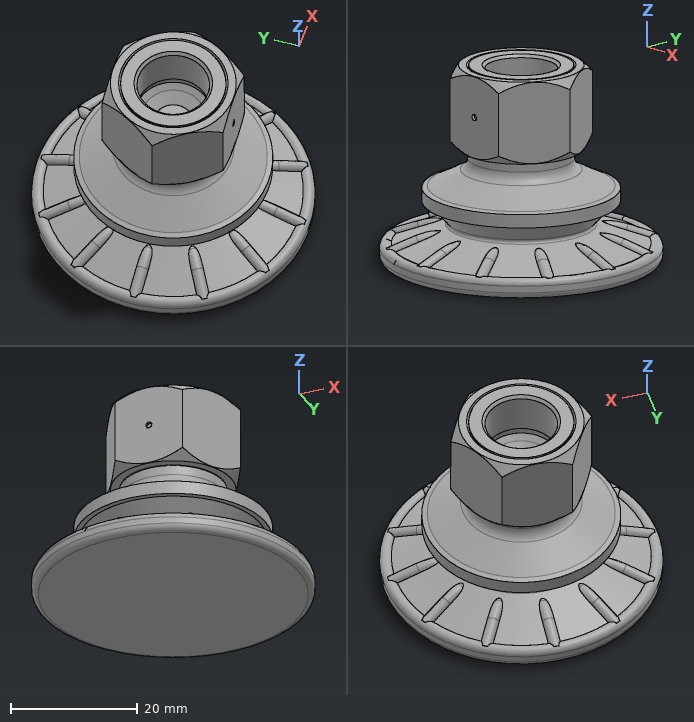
import cadquery as cq
import math

total_height = 32.18
nut_across_flats = 20.0
nut_bottom = 18.67
nut_chamfer_dia = 19.88
nut_bore_dia = 16.66
nut_lead_in = 0.32
mark_dia = 1.0
mark_depth = 0.5

socket_dia = 11.45
socket_mouth_dia = 12.4
socket_depth = 8.16
undercut_dia = 12.0
undercut_height = 1.26
seat_dia = 10.0
seat_depth = 0.75
floor_dia = 6.0
drill_half_angle = 59.0

neck_radius = 8.49
neck_fillet = 2.15
shoulder_radius = 14.87
shoulder_z = 12.31
shoulder_slope = 27.7
collar_dia = 31.48
collar_top = 12.05
collar_bottom = 9.85
underside_radius = 14.8
waist_radius = 12.0
waist_top = 6.86
waist_bottom = 6.1
waist_sag = 0.2
rim_dia = 44.89
bead_top = 3.27
bead_radius = 1.07
valley_radius = 20.55
bead_center_r = rim_dia / 2 - bead_radius
bead_center_z = bead_top - bead_radius
valley_z = bead_center_z + math.sqrt(bead_radius**2 - (bead_center_r - valley_radius)**2)
rim_bottom_fillet = 1.09

rib_count = 12
rib_radius = 1.0
rib_crest_r = 17.1
rib_crest_z = 5.05
rib_bend_radius = 10.0
rib_outer_r = 21.8
rib_inner_r = 12.5


def make_nut():
    height = total_height - nut_bottom
    corner_dia = nut_across_flats / math.cos(math.pi / 6)
    base = cq.Workplane("XY").workplane(offset=nut_bottom)
    hexagon = base.polygon(6, corner_dia).extrude(height)
    chamfer = (corner_dia - nut_chamfer_dia) / 2
    envelope = base.circle(corner_dia / 2).extrude(height).edges().chamfer(chamfer)
    nut = hexagon.intersect(envelope)
    nut = nut.faces(">Z").workplane(origin=(0, 0, 0)).circle(nut_bore_dia / 2).cutThruAll()
    nut = nut.edges(cq.selectors.RadiusNthSelector(0)).edges(">Z").chamfer(nut_lead_in)
    mark = (
        cq.Workplane("XZ", origin=(0, -nut_across_flats / 2, nut_bottom + height / 2))
        .circle(mark_dia / 2)
        .extrude(-mark_depth)
    )
    return nut.cut(mark)


def make_insert():
    mouth_chamfer = (socket_mouth_dia - socket_dia) / 2
    cone_depth = (seat_dia - floor_dia) / 2 / math.tan(math.radians(drill_half_angle))
    socket_z = total_height - socket_depth
    undercut_z = socket_z + undercut_height
    seat_z = socket_z - seat_depth
    floor_z = seat_z - cone_depth
    return (
        cq.Workplane("XZ")
        .moveTo(0, nut_bottom)
        .lineTo(nut_bore_dia / 2, nut_bottom)
        .lineTo(nut_bore_dia / 2, total_height)
        .lineTo(socket_mouth_dia / 2, total_height)
        .lineTo(socket_dia / 2, total_height - mouth_chamfer)
        .lineTo(socket_dia / 2, undercut_z)
        .lineTo(undercut_dia / 2, undercut_z)
        .lineTo(undercut_dia / 2, socket_z)
        .lineTo(seat_dia / 2, seat_z)
        .lineTo(floor_dia / 2, floor_z)
        .lineTo(0, floor_z)
        .close()
        .revolve(360, (0, 0, 0), (0, 1, 0))
    )


def make_cup_body():
    rim_radius = rim_dia / 2

    turn = math.radians(90 - shoulder_slope)
    fillet_end_r = neck_radius + neck_fillet * (1 - math.cos(turn))
    cone_rise = (shoulder_radius - fillet_end_r) * math.tan(math.radians(shoulder_slope))
    fillet_end_z = shoulder_z + cone_rise
    fillet_start_z = fillet_end_z + neck_fillet * math.sin(turn)
    fillet_mid_r = neck_radius + neck_fillet * (1 - math.cos(turn / 2))
    fillet_mid_z = fillet_start_z - neck_fillet * math.sin(turn / 2)

    corner_mid = rim_bottom_fillet * (1 - math.sqrt(0.5))

    return (
        cq.Workplane("XZ")
        .moveTo(0, nut_bottom)
        .lineTo(neck_radius, nut_bottom)
        .lineTo(neck_radius, fillet_start_z)
        .threePointArc((fillet_mid_r, fillet_mid_z), (fillet_end_r, fillet_end_z))
        .lineTo(shoulder_radius, shoulder_z)
        .lineTo(collar_dia / 2, collar_top)
        .lineTo(collar_dia / 2, collar_bottom)
        .lineTo(underside_radius, collar_bottom)
        .lineTo(waist_radius, waist_top)
        .threePointArc(
            (waist_radius - waist_sag, (waist_top + waist_bottom) / 2),
            (waist_radius, waist_bottom),
        )
        .lineTo(valley_radius, valley_z)
        .threePointArc((bead_center_r, bead_top), (rim_radius, bead_center_z))
        .lineTo(rim_radius, rim_bottom_fillet)
        .threePointArc(
            (rim_radius - corner_mid, corner_mid),
            (rim_radius - rim_bottom_fillet, 0),
        )
        .lineTo(0, 0)
        .close()
        .revolve(360, (0, 0, 0), (0, 1, 0))
    )


def make_rib():
    """Round bar along +X: straight down the cone, bent level at its inner end."""
    slope = math.atan2(waist_bottom - valley_z, valley_radius - waist_radius)
    axis_bend = rib_bend_radius - rib_radius

    bend_r = rib_crest_r - rib_radius * math.sin(slope)
    bend_z = rib_crest_z - rib_radius * math.cos(slope)
    level_r = bend_r - axis_bend * math.sin(slope)
    level_z = bend_z + axis_bend * (1 - math.cos(slope))
    mid_r = level_r + axis_bend * math.sin(slope / 2)
    mid_z = level_z - axis_bend * (1 - math.cos(slope / 2))
    outer_z = bend_z - (rib_outer_r - rib_crest_r) * math.tan(slope)
    outer_r = bend_r + rib_outer_r - rib_crest_r

    path = (
        cq.Workplane("XZ")
        .moveTo(rib_inner_r, level_z)
        .lineTo(level_r, level_z)
        .threePointArc((mid_r, mid_z), (bend_r, bend_z))
        .lineTo(outer_r, outer_z)
    )
    section = cq.Workplane("YZ", origin=(rib_inner_r, 0, level_z)).circle(rib_radius)
    return section.sweep(path)


def make_cup():
    cup = make_cup_body()
    rib = make_rib()
    for index in range(rib_count):
        cup = cup.union(rib.rotate((0, 0, 0), (0, 0, 1), index * 360 / rib_count))
    return cup


nut = make_nut()
insert = make_insert()
cup = make_cup()

result = cq.Compound.makeCompound([nut.val(), insert.val(), *cup.vals()])